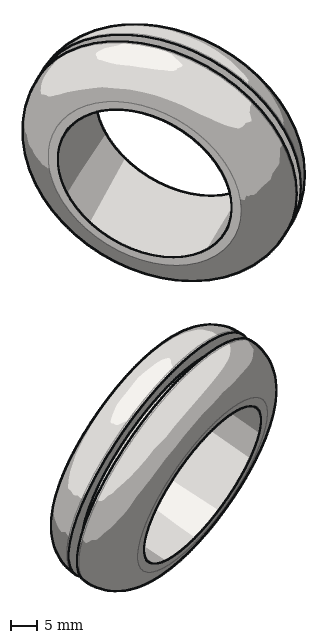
import cadquery as cq

outer_diameter = 56.0
bore_diameter = 36.0
end_face_diameter = 40.0
groove_diameter = 48.0
width = 19.0
groove_width = 2.0

rounding_radius = (outer_diameter - end_face_diameter) / 2


def disc(diameter, length):
    """Solid cylinder along Y, centred on the origin."""
    return cq.Workplane("XZ", origin=(0, length / 2, 0)).circle(diameter / 2).extrude(length)


body = disc(outer_diameter, width).edges("%CIRCLE").fillet(rounding_radius)

groove = disc(outer_diameter, groove_width).cut(disc(groove_diameter, groove_width))

bore = disc(bore_diameter, width)

result = body.cut(groove).cut(bore)